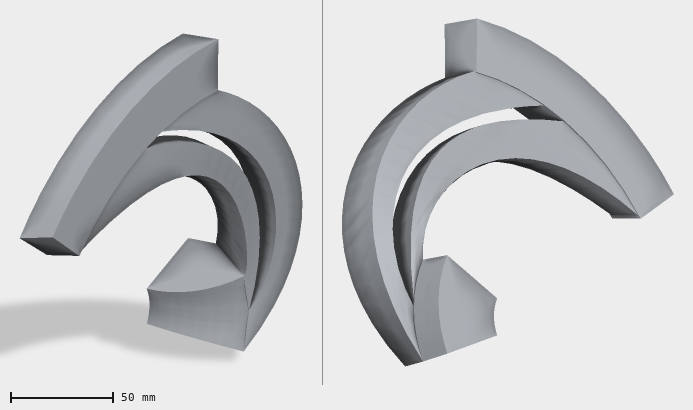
import cadquery as cq
import math

SECTOR = 360 / 7
HALF_SECTOR = SECTOR / 2

HUB_LENGTH = 42.6
HUB_CREST_X = 15.7
HUB_CREST_RADIUS = 59.5
HUB_FRONT_RADIUS = 57.5
HUB_END_RADIUS = 46.2
BORE_RADIUS = 21.6
BORE_MID_RADIUS = 27.3

RIM_OUTER_RADIUS = 164.5
RIM_INNER_RADIUS = 137.3
RIM_FRONT_X = 40.2
RIM_BACK_X = 58.0
RIM_WIDTH = RIM_BACK_X - RIM_FRONT_X
RIM_START = 91.0
RIM_TWIST = 1.9

TIP_INSET = 0.6
OUTER_OVERLAP = 3.2
OUTER_TIP_ANGLE = 2.6
SLOT_OUTER_TIP_ANGLE = 24.5
SLOT_INNER_TIP_ANGLE = 30.4
CORNER_OVERLAP = 0.6
CORNER_ANGLE_INSET = 0.3
ROOT_INSET = 0.6
RIM_OVERLAP = 9.0


def polar(x, radius, angle):
    """Point at an angle measured from +Y over the top (+Z) toward -Y."""
    a = math.radians(angle)
    return cq.Vector(x, radius * math.cos(a), radius * math.sin(a))


def make_hub():
    profile = (
        cq.Workplane("XY")
        .moveTo(0, BORE_RADIUS)
        .threePointArc((HUB_LENGTH / 2, BORE_MID_RADIUS), (HUB_LENGTH, HUB_END_RADIUS))
        .lineTo(HUB_CREST_X, HUB_CREST_RADIUS)
        .lineTo(0, HUB_FRONT_RADIUS)
        .close()
    )
    hub = profile.revolve(SECTOR, (0, 0, 0), (1, 0, 0))
    return hub.rotate((0, 0, 0), (1, 0, 0), -HALF_SECTOR)


def make_rim():
    def rim_point(radius, fraction):
        point = polar(0, radius, RIM_START + fraction * SECTOR)
        return (point.y, point.z)

    return (
        cq.Workplane("YZ", origin=(RIM_FRONT_X, 0, 0))
        .moveTo(*rim_point(RIM_INNER_RADIUS, 0))
        .lineTo(*rim_point(RIM_OUTER_RADIUS, 0))
        .threePointArc(rim_point(RIM_OUTER_RADIUS, 0.5), rim_point(RIM_OUTER_RADIUS, 1))
        .lineTo(*rim_point(RIM_INNER_RADIUS, 1))
        .threePointArc(rim_point(RIM_INNER_RADIUS, 0.5), rim_point(RIM_INNER_RADIUS, 0))
        .close()
        .twistExtrude(RIM_WIDTH, -RIM_TWIST)
    )


def edge_pair(root_angle, root_inset, tip_angle, tip_overlap, front_handles, back_handles):
    """Front and back Bezier edges running together from the hub to the rim."""
    tip_radius = RIM_INNER_RADIUS + tip_overlap
    sides = (
        (HUB_CREST_X, HUB_CREST_RADIUS, RIM_FRONT_X + TIP_INSET, 0, front_handles),
        (HUB_LENGTH, HUB_END_RADIUS, RIM_BACK_X - TIP_INSET, RIM_TWIST, back_handles),
    )
    edges = []
    for root_x, root_radius, tip_x, twist, handles in sides:
        root = polar(root_x, root_radius - root_inset, root_angle)
        tip = polar(tip_x, tip_radius, tip_angle - twist)
        inner_points = [cq.Vector(*handle) for handle in handles]
        edges.append(cq.Edge.makeBezier([root, *inner_points, tip]))
    return edges


def make_blade(first, second):
    """Solid bounded by ruled faces between two pairs of spoke edges."""
    loop = [first[0], first[1], second[1], second[0]]
    faces = []
    for i in range(4):
        faces.append(cq.Face.makeRuledSurface(loop[i], loop[(i + 1) % 4]))
    for t in (0, 1):
        corners = [edge.positionAt(t) for edge in loop]
        near = cq.Edge.makeLine(corners[0], corners[1])
        far = cq.Edge.makeLine(corners[3], corners[2])
        faces.append(cq.Face.makeRuledSurface(near, far))
    return cq.Workplane(cq.Solid.makeSolid(cq.Shell.makeShell(faces)).fix())


outer_edges = edge_pair(
    -HALF_SECTOR, 0, RIM_START + OUTER_TIP_ANGLE, OUTER_OVERLAP,
    [(42.5, 100.3, 55.5), (41.2, 45.8, 122.8)],
    [(61.2, 98.0, 34.3), (56.5, 70.0, 107.6)],
)
inner_edges = edge_pair(
    HALF_SECTOR, 0, RIM_START + SECTOR - CORNER_ANGLE_INSET, CORNER_OVERLAP,
    [(36.7, 39.2, 72.3), (43.5, -25.5, 129.0)],
    [(44.8, 46.2, 18.2), (58.5, 30.3, 141.7)],
)
slot_outer_edges = edge_pair(
    0, ROOT_INSET, RIM_START + SLOT_OUTER_TIP_ANGLE, RIM_OVERLAP,
    [(35.3, 71.7, 43.6), (42.5, 56.1, 113.7)],
    [(56.5, 68.6, 36.3), (57.5, 56.1, 113.7)],
)
slot_inner_edges = edge_pair(
    0, ROOT_INSET, RIM_START + SLOT_INNER_TIP_ANGLE, RIM_OVERLAP,
    [(34.3, 56.3, 83.8), (42.5, 14.0, 120.3)],
    [(54.5, 57.5, 66.6), (57.5, 16.8, 123.0)],
)

outer_blade = make_blade(outer_edges, slot_outer_edges)
inner_blade = make_blade(slot_inner_edges, inner_edges)
result = make_hub().union(make_rim()).union(outer_blade).union(inner_blade)